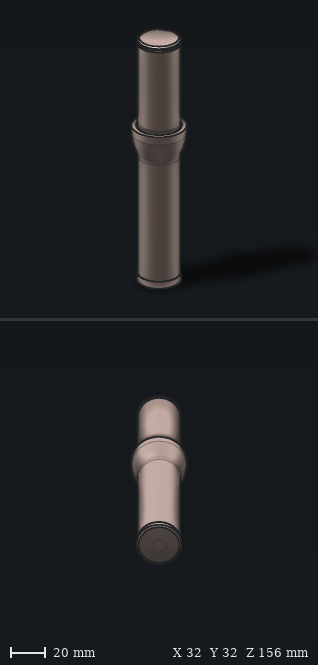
import cadquery as cq

TOTAL_LENGTH = 156.0
HEAD_HEIGHT = 5.5
BELL_BOTTOM_Z = 80.2
BELL_TOP_Z = 95.2
COLLAR_TOP_Z = 100.0

SHANK_RADIUS = 25.0 / 2
NECK_RADIUS = 24.6 / 2
COLLAR_RADIUS = 32.0 / 2
BELL_POINTS = [(15.6, 91.0), (14.2, 86.1), (12.6, 82.7)]

UNDERCUT_RADIUS = 24.5 / 2
UNDERCUT_HEIGHT = 2.3
UNDERCUT_TAPER = 1.0
UNDERCUT_FILLET_HEIGHT = 0.5
UNDERCUT_FLOOR_RADIUS = 12.8
UNDERCUT_RIM_RADIUS = 13.3
UNDERCUT_DEPTH = 0.2

TOP_CHAMFER = 1.1
GROOVE_RADIUS = 24.0 / 2
GROOVE_TOP_DISTANCE = 1.5
GROOVE_HEIGHT = 1.0
GROOVE_TAPER = 1.0
FLAT_Y = 10.6
FLAT_BOTTOM_Z = 105.0
FLAT_RUNOUT = 1.2

HEAD_TOP_RADIUS = 25.0 / 2
HEAD_RADIUS = 25.9 / 2
HEAD_CORNER_Z = 1.2
TIP_CONE_RADIUS = 11.7
TIP_CONE_HEIGHT = 0.5
TIP_FLAT_RADIUS = 4.2

DOWN = (0, -1)


def revolve_about_z(profile):
    """Turn a closed half profile in the XZ plane into a solid around the Z axis."""
    return profile.revolve(360, (0, 0, 0), (0, 1, 0))


def make_flat_cutter():
    """Block that leaves the clamping flat with a sloped run-out at its lower end."""
    return (
        cq.Workplane("YZ")
        .moveTo(FLAT_Y, TOTAL_LENGTH)
        .lineTo(FLAT_Y, FLAT_BOTTOM_Z)
        .lineTo(SHANK_RADIUS, FLAT_BOTTOM_Z - FLAT_RUNOUT)
        .lineTo(SHANK_RADIUS, TOTAL_LENGTH)
        .close()
        .extrude(SHANK_RADIUS, both=True)
    )


def make_tool_body():
    """Neck, bell, collar and shank as one turned solid with the flat cut off."""
    groove_top_z = TOTAL_LENGTH - GROOVE_TOP_DISTANCE
    groove_bottom_z = groove_top_z - GROOVE_HEIGHT
    undercut_top_z = COLLAR_TOP_Z + UNDERCUT_HEIGHT
    undercut_floor_z = COLLAR_TOP_Z - UNDERCUT_DEPTH

    profile = (
        cq.Workplane("XZ")
        .moveTo(0, TOTAL_LENGTH)
        .lineTo(SHANK_RADIUS - TOP_CHAMFER, TOTAL_LENGTH)
        .lineTo(SHANK_RADIUS, TOTAL_LENGTH - TOP_CHAMFER)
        .lineTo(SHANK_RADIUS, groove_top_z)
        .lineTo(GROOVE_RADIUS, groove_top_z)
        .lineTo(GROOVE_RADIUS, groove_bottom_z)
        .lineTo(SHANK_RADIUS, groove_bottom_z - GROOVE_TAPER)
        .lineTo(SHANK_RADIUS, undercut_top_z)
        .lineTo(UNDERCUT_RADIUS, undercut_top_z - UNDERCUT_TAPER)
        .lineTo(UNDERCUT_RADIUS, COLLAR_TOP_Z + UNDERCUT_FILLET_HEIGHT)
        .tangentArcPoint((UNDERCUT_FLOOR_RADIUS, undercut_floor_z), relative=False)
        .lineTo(UNDERCUT_RIM_RADIUS, COLLAR_TOP_Z)
        .lineTo(COLLAR_RADIUS, COLLAR_TOP_Z)
        .lineTo(COLLAR_RADIUS, BELL_TOP_Z)
        .spline([*BELL_POINTS, (NECK_RADIUS, BELL_BOTTOM_Z)], tangents=[DOWN, DOWN], includeCurrent=True)
        .lineTo(NECK_RADIUS, HEAD_HEIGHT)
        .lineTo(0, HEAD_HEIGHT)
        .close()
    )
    return revolve_about_z(profile).cut(make_flat_cutter())


def make_cutting_head():
    """Slightly flared head with a chamfered corner and a shallow conical end with a flat centre."""
    flare_middle = (
        HEAD_TOP_RADIUS + (HEAD_RADIUS - HEAD_TOP_RADIUS) / 4,
        (HEAD_HEIGHT + HEAD_CORNER_Z) / 2,
    )
    profile = (
        cq.Workplane("XZ")
        .moveTo(0, HEAD_HEIGHT)
        .lineTo(HEAD_TOP_RADIUS, HEAD_HEIGHT)
        .threePointArc(flare_middle, (HEAD_RADIUS, HEAD_CORNER_Z))
        .lineTo(TIP_CONE_RADIUS, TIP_CONE_HEIGHT)
        .lineTo(TIP_FLAT_RADIUS, 0)
        .lineTo(0, 0)
        .close()
    )
    return revolve_about_z(profile)


tool_body = make_tool_body()
cutting_head = make_cutting_head()
result = cq.Compound.makeCompound([tool_body.val(), cutting_head.val()])